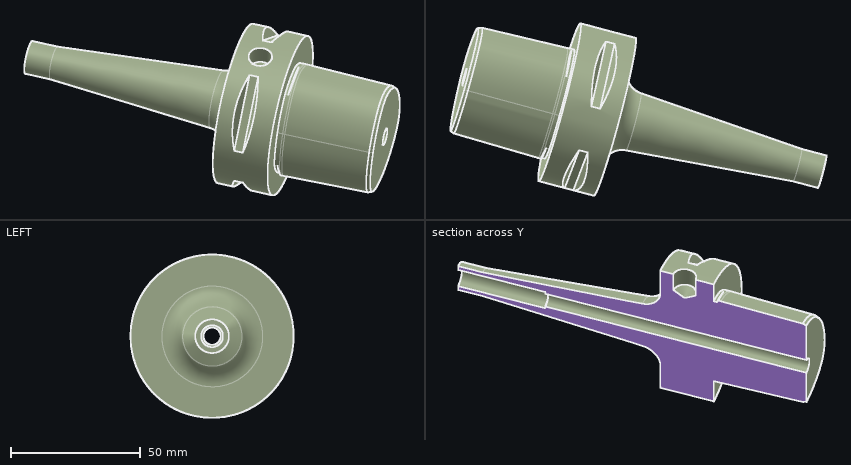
import cadquery as cq
import math

total_length = 143.0
tip_length = 10.0
flange_start = 83.0
flange_width = 22.0
flange_end = flange_start + flange_width

tip_radius = 13.0 / 2
neck_root_radius = 12.0
neck_fillet = 8.0
flange_radius = 63.0 / 2

tool_bore_diameter = 8.5
tool_bore_depth = 35.8
through_diameter = 6.6

slot_center = flange_start + 10.0
slot_floor_distance = 27.7
slot_floor_width = 3.5
slot_mouth_width = 7.9
slot_angles = (45, 135, 225, 315)
hole_diameter = 9.0
hole_depth = 8.6
hole_point_angle = 118.0

shank_mean_radius = 22.0
lobe_height = 1.5
shank_straight_length = 2.0
lead_in_length = 0.9
lead_in_depth = 0.05
taper_per_side = 1 / 40
end_chamfer_length = 1.5
end_chamfer_depth = 0.6
relief_radius = 22.5
relief_floor_length = 1.3
relief_length = 1.9
relief_outer_radius = relief_radius + 1.0


def neck_and_flange():
    profile = (
        cq.Workplane("XY")
        .moveTo(0, 0)
        .lineTo(0, tip_radius)
        .lineTo(tip_length, tip_radius)
        .lineTo(flange_start, neck_root_radius)
        .lineTo(flange_start, flange_radius)
        .lineTo(flange_end, flange_radius)
        .lineTo(flange_end, 0)
        .close()
    )
    body = profile.revolve(360, (0, 0, 0), (1, 0, 0))
    root_edge = cq.selectors.BoxSelector(
        (flange_start - 0.1, -neck_root_radius - 1.5, -neck_root_radius - 1.5),
        (flange_start + 0.1, neck_root_radius + 1.5, neck_root_radius + 1.5),
        boundingbox=True,
    )
    return body.edges(root_edge).fillet(neck_fillet)


def lobe_point(mean_radius, angle):
    """Point (y, z) of a constant-width outline with lobes at 90, 210 and 330 degrees."""
    support = mean_radius - lobe_height * math.sin(3 * angle)
    slope = -3 * lobe_height * math.cos(3 * angle)
    y = support * math.cos(angle) - slope * math.sin(angle)
    z = support * math.sin(angle) + slope * math.cos(angle)
    return y, z


def lobed_wire(x, mean_radius):
    """Closed outline of three curves that meet at the flats between the lobes."""
    steps = 16
    edges = []
    for start in (30, 150, 270):
        angles = [math.radians(start + 120 * i / steps) for i in range(steps + 1)]
        points = [cq.Vector(x, *lobe_point(mean_radius, a)) for a in angles]
        tangents = [cq.Vector(0, -math.sin(a), math.cos(a)) for a in (angles[0], angles[-1])]
        edges.append(cq.Edge.makeSpline(points, tangents=tangents))
    return cq.Wire.assembleEdges(edges)


def shank():
    lead_in_start = flange_end + shank_straight_length
    taper_start = lead_in_start + lead_in_length
    taper_start_radius = shank_mean_radius - lead_in_depth
    taper_end = total_length - end_chamfer_length
    taper_end_radius = taper_start_radius - (taper_end - taper_start) * taper_per_side
    sections = (
        (flange_end, shank_mean_radius),
        (lead_in_start, shank_mean_radius),
        (taper_start, taper_start_radius),
        (taper_end, taper_end_radius),
        (total_length, taper_end_radius - end_chamfer_depth),
    )
    wires = [lobed_wire(x, radius) for x, radius in sections]
    return cq.Workplane(cq.Solid.makeLoft(wires, True))


def shank_relief():
    """Turned groove beside the flange that reaches only the crests of the lobes."""
    return (
        cq.Workplane("XY")
        .moveTo(flange_end, relief_radius)
        .lineTo(flange_end + relief_floor_length, relief_radius)
        .lineTo(flange_end + relief_length, relief_outer_radius)
        .lineTo(flange_end, relief_outer_radius)
        .close()
        .revolve(360, (0, 0, 0), (1, 0, 0))
    )


def gripper_slot(angle):
    """Straight slot with sloping sides across the rim of the flange."""
    return (
        cq.Workplane("XZ")
        .moveTo(slot_center - slot_floor_width / 2, slot_floor_distance)
        .lineTo(slot_center + slot_floor_width / 2, slot_floor_distance)
        .lineTo(slot_center + slot_mouth_width / 2, flange_radius)
        .lineTo(slot_center - slot_mouth_width / 2, flange_radius)
        .close()
        .extrude(flange_radius, both=True)
        .rotate((0, 0, 0), (1, 0, 0), angle)
    )


def orientation_hole():
    """Blind radial hole with a conical bottom, on the +Z side of the flange."""
    radius = hole_diameter / 2
    shoulder = flange_radius - hole_depth
    point_height = radius / math.tan(math.radians(hole_point_angle / 2))
    return (
        cq.Workplane("XZ")
        .moveTo(0, shoulder - point_height)
        .lineTo(radius, shoulder)
        .lineTo(radius, flange_radius)
        .lineTo(0, flange_radius)
        .close()
        .revolve(360, (0, 0, 0), (0, 1, 0))
        .translate((slot_center, 0, 0))
    )


def bore(diameter, depth):
    return cq.Workplane("YZ").circle(diameter / 2).extrude(depth)


result = neck_and_flange().union(shank().cut(shank_relief()))
for slot_angle in slot_angles:
    result = result.cut(gripper_slot(slot_angle))
result = result.cut(orientation_hole())
result = result.cut(bore(tool_bore_diameter, tool_bore_depth))
result = result.cut(bore(through_diameter, total_length))